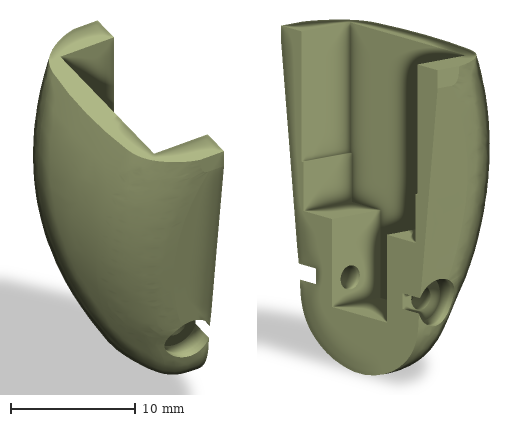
import cadquery as cq
import math

HEIGHT = 26.95
WIDTH = 20.0

TIP_HALF_WIDTH = 6.82
FLANK_GROWTH = 3.37
TIP_WIDTH_ROUNDING = 4.58
TIP_DEPTH_ROUNDING = 1.9
FRONT_DEPTH = 9.1
FRONT_PEAK_Z = 16.85
FRONT_RADIUS = 25.35
FLANK_DEPTH = 4.0
FLANK_PEAK_Z = 15.9
FLANK_RADIUS = 18.87
MIN_FLANK_DEPTH = 0.55
TIP_CROWN_HALF_WIDTH = 2.6
CROWN_GROWTH = 3.25
CROWN_RISE = 0.4
CORNER_FULLNESS = 0.69
SECTION_HEIGHTS = [0, 0.15, 0.4, 0.95, 1.9, 4.05, 8.1, 12.13, 16.18, 20.22, 22.92, 25.35, HEIGHT]
TIP_FLAT = 0.03

POCKET_DEPTH = 5.01
POCKET_STEPS = [(7.41, 16.18), (7.15, 12.13), (3.5, 4.85)]

PIN_DIAMETER = 2.0
RECESS_DIAMETER = 4.0
PIN_DEPTH = 1.9
PIN_Z = 7
RECESS_FLOOR_X = 5.53


def arc_height(z, peak, peak_z, radius):
    """Height of a circular arc whose crest is at peak_z."""
    return peak - radius + math.sqrt(radius**2 - (z - peak_z) ** 2)


def tip_factor(z, rounding):
    """Elliptical shrink towards the tip, 1 above the rounding."""
    return math.sqrt(1 - max(0, 1 - z / rounding) ** 2)


def shell_section(z):
    """Closed cross-section: flat back, flat flanks, rounded corners, crowned front."""
    width_factor = tip_factor(max(z, TIP_FLAT), TIP_WIDTH_ROUNDING)
    depth_factor = tip_factor(max(z, TIP_FLAT), TIP_DEPTH_ROUNDING)
    half = (TIP_HALF_WIDTH + FLANK_GROWTH * z / HEIGHT) * width_factor
    crown = (TIP_CROWN_HALF_WIDTH + CROWN_GROWTH * z / HEIGHT) * width_factor
    depth = arc_height(z, FRONT_DEPTH, FRONT_PEAK_Z, FRONT_RADIUS) * depth_factor
    flank = max(MIN_FLANK_DEPTH, arc_height(z, FLANK_DEPTH, FLANK_PEAK_Z, FLANK_RADIUS))
    flank *= depth_factor
    shoulder = depth - CROWN_RISE * depth_factor
    crown_tangent = 2 * (depth - shoulder)
    corner_x = crown + CORNER_FULLNESS * (half - crown)
    corner_depth = flank + CORNER_FULLNESS * (shoulder - flank)
    wire = (
        cq.Workplane("XY", origin=(0, 0, z))
        .moveTo(-half, 0)
        .lineTo(-half, -flank)
        .spline(
            [(-corner_x, -corner_depth), (-crown, -shoulder)],
            tangents=[(0, -1), (crown, -crown_tangent)],
            includeCurrent=True,
        )
        .threePointArc((0, -depth), (crown, -shoulder))
        .spline(
            [(corner_x, -corner_depth), (half, -flank)],
            tangents=[(crown, crown_tangent), (0, 1)],
            includeCurrent=True,
        )
        .lineTo(half, 0)
        .close()
    )
    return wire.val()


def make_shell():
    loft = cq.Solid.makeLoft([shell_section(z) for z in SECTION_HEIGHTS])
    limits = cq.Workplane("XY").box(WIDTH, 3 * FRONT_DEPTH, HEIGHT, centered=(True, True, False))
    return cq.Workplane(loft).intersect(limits)


def pocket_step(half_width, floor_z):
    return (
        cq.Workplane("XY", origin=(0, 0, floor_z))
        .rect(2 * half_width, 2 * POCKET_DEPTH)
        .extrude(HEIGHT - floor_z)
    )


def cross_cylinder(diameter, x_start, x_end):
    return (
        cq.Workplane("YZ", origin=(x_start, 0, 0))
        .center(-PIN_DEPTH, PIN_Z)
        .circle(diameter / 2)
        .extrude(x_end - x_start)
    )


result = make_shell()
for half_width, floor_z in POCKET_STEPS:
    result = result.cut(pocket_step(half_width, floor_z))

result = result.cut(cross_cylinder(PIN_DIAMETER, -WIDTH / 2, WIDTH / 2))
for side in (-1, 1):
    result = result.cut(cross_cylinder(RECESS_DIAMETER, side * RECESS_FLOOR_X, side * WIDTH / 2))